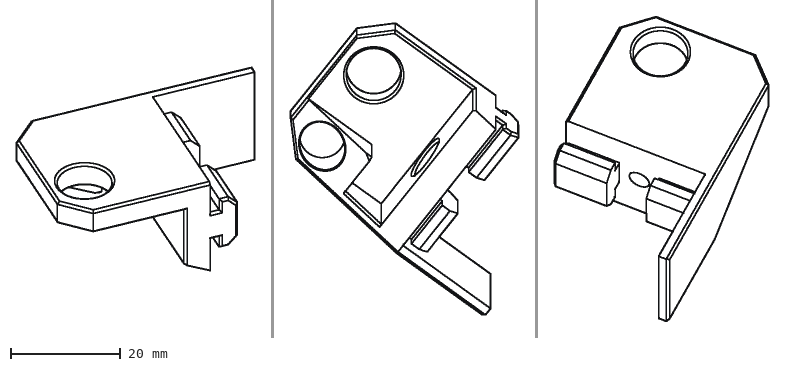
import cadquery as cq

width = 30.0
length = 48.0
height = 20.0
edge_chamfer = 0.5

tolerance = 0.05

plate_thickness = 5.0
side_wall_thickness = 2.0
corner_cut = 5.0
wall_back = length - height
wall_front = wall_back - plate_thickness
plate_bottom = height - plate_thickness

block_right = 10.05
block_bottom = 7.1
block_back = wall_back * (1 - block_bottom / plate_bottom)
pocket_diameter = 8.2
pocket_x = 5.35
pocket_y = 7.0
pocket_top = 17.0
pocket_chamfer = 0.2
block_chamfer = 0.7

plate_hole_diameter = 10.0
plate_hole_x = 20.85
plate_hole_y = 7.0

screw_x = 15.25
screw_z = height / 2
screw_diameter = 4.0
head_diameter = 7.5
head_depth = 2.0

tongue_neck_height = 6.0
tongue_head_height = 11.0
tongue_neck_depth = 1.9
tongue_head_depth = 1.8
tongue_taper_depth = 1.8
tongue_gap = 7.95


def side_profile(back):
    """Side outline: level top and base, joined at the front by the long slope."""
    return [(0, plate_bottom), (0, height), (back, height), (back, 0), (wall_back, 0)]


def box(x_range, y_range, z_range):
    """Block that fills the given X, Y and Z ranges."""
    sizes = [high - low for low, high in (x_range, y_range, z_range)]
    corner = (x_range[0], y_range[0], z_range[0])
    return cq.Workplane("XY").box(*sizes, centered=False).translate(corner)


def midpoint_box(x_range, y_range, z_range):
    """Selector for edges and faces whose centre lies in the given region."""
    low, high = zip(x_range, y_range, z_range)
    return cq.selectors.BoxSelector(low, high)


def make_outline():
    """Outer prism with cut front corners, chamfered around the top and the left side."""
    outline = cq.Workplane("YZ").polyline(side_profile(length)).close().extrude(width)
    outline = outline.edges("|Z and <Y").chamfer(corner_cut)
    left_corner = midpoint_box((0, corner_cut), (0, corner_cut), (0, height))
    right_corner = midpoint_box((width - corner_cut, width), (0, corner_cut), (plate_bottom, height + tolerance))
    rim = outline.faces("<Y or <X").add(outline.faces(left_corner)).edges("not |Z")
    rim = rim.add(outline.faces(">Z").edges(right_corner))
    rim = rim.add(outline.edges(">X and >Z"))
    rim = rim.add(outline.edges("<X and >Y"))
    return rim.chamfer(edge_chamfer)


def make_cavity():
    """Open space between plate, back wall and side wall, less the magnet block."""
    cavity = box((side_wall_thickness, width), (0, wall_front), (0, plate_bottom))
    block = box((0, block_right), (0, block_back), (block_bottom, height))
    block = block.edges("|Y and >X and <Z").chamfer(block_chamfer)
    return cavity.cut(block)


def make_tongue():
    """T-slot tongue along X with a tapered head and a gap around the screw."""
    neck = tongue_neck_height / 2
    head = tongue_head_height / 2
    tip = head - tongue_taper_depth
    head_start = wall_back + tongue_neck_depth
    taper_start = head_start + tongue_head_depth
    end = taper_start + tongue_taper_depth
    upper = [(wall_back, neck), (head_start, neck), (head_start, head), (taper_start, head), (end, tip)]
    lower = [(y, -z) for y, z in reversed(upper)]
    tongue = cq.Workplane("YZ").polyline(upper + lower).close().extrude(width)
    tongue = tongue.faces(">X").edges("not <Y").chamfer(edge_chamfer).translate((0, 0, screw_z))
    gap = box((screw_x - tongue_gap / 2, screw_x + tongue_gap / 2), (wall_back, length), (0, height))
    trim = box((0, edge_chamfer), (0, length), (0, height))
    return tongue.cut(gap).cut(trim)


def chamfer_opening(body):
    """Chamfer the edges of the open space on the side wall, the back wall and the plate."""
    side_wall_edge = midpoint_box(
        (side_wall_thickness - tolerance, side_wall_thickness + tolerance),
        (0, wall_front - tolerance),
        (0, block_bottom - tolerance),
    )
    back_wall_edge = midpoint_box(
        (width - tolerance, width + tolerance),
        (wall_front - tolerance, wall_front + tolerance),
        (0, plate_bottom),
    )
    plate_edges = midpoint_box(
        (width - corner_cut, width + tolerance),
        (0, wall_front - tolerance),
        (plate_bottom - tolerance, plate_bottom + tolerance),
    )
    edges = body.edges(side_wall_edge)
    edges = edges.add(body.edges(back_wall_edge))
    edges = edges.add(body.edges(plate_edges))
    return edges.chamfer(edge_chamfer)


def chamfered_hole(diameter, depth):
    """Cutter along -Z from the local origin, with a flared mouth."""
    hole = cq.Workplane("XY").circle(diameter / 2).extrude(-depth)
    mouth_radius = diameter / 2 + edge_chamfer
    mouth = cq.Solid.makeCone(mouth_radius, diameter / 2, edge_chamfer, dir=cq.Vector(0, 0, -1))
    return hole.union(cq.Workplane(mouth))


def make_plate_hole():
    """Through hole, flared at both ends."""
    upper_half = chamfered_hole(plate_hole_diameter, plate_thickness / 2)
    lower_half = upper_half.mirror("XY").translate((0, 0, -plate_thickness))
    hole = upper_half.union(lower_half)
    return hole.translate((plate_hole_x, plate_hole_y, height))


def cut_magnet_pocket(body):
    """Blind upright pocket with a chamfered mouth in the sloped underside of the block."""
    pocket = cq.Workplane("XY").circle(pocket_diameter / 2).extrude(pocket_top)
    body = body.cut(pocket.translate((pocket_x, pocket_y, 0)))
    mouth = midpoint_box(
        (pocket_x - 0.5, pocket_x + 0.5), (pocket_y - 0.5, pocket_y + 0.5), (block_bottom, plate_bottom))
    return body.edges(mouth).chamfer(pocket_chamfer)


def make_screw_hole():
    """Counterbored hole through the back wall, entered from the front."""
    shank = cq.Workplane("XY").circle(screw_diameter / 2).extrude(-plate_thickness)
    hole = chamfered_hole(head_diameter, head_depth).union(shank)
    hole = hole.rotate((0, 0, 0), (1, 0, 0), 90)
    return hole.translate((screw_x, wall_front, screw_z))


back_space = box((side_wall_thickness, width), (wall_back, length), (0, height))
body = make_outline().cut(back_space).cut(make_cavity())
body = chamfer_opening(body).union(make_tongue())
body = cut_magnet_pocket(body)
result = body.cut(make_plate_hole()).cut(make_screw_hole())